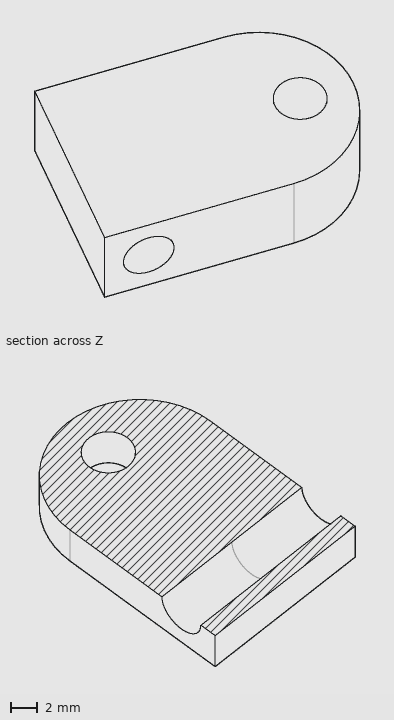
import cadquery as cq

length = 22.5
width = 15.0
height = 7.0
hole_diameter = 4.0
vertical_hole_setback = 4.23

end_radius = width / 2
arc_start_y = length - end_radius
vertical_hole_y = length - vertical_hole_setback
cross_hole_y = height / 2


def rounded_block():
    """Block with a flat end at Y = 0 and a full-round end at Y = length."""
    return (
        cq.Workplane("XY")
        .moveTo(-end_radius, 0)
        .lineTo(end_radius, 0)
        .lineTo(end_radius, arc_start_y)
        .threePointArc((0, length), (-end_radius, arc_start_y))
        .close()
        .extrude(height)
    )


def vertical_hole():
    """Through hole along Z near the rounded end."""
    return cq.Workplane("XY").center(0, vertical_hole_y).circle(hole_diameter / 2).extrude(height)


def cross_hole():
    """Through hole along X near the flat end, at mid height."""
    return (
        cq.Workplane("YZ")
        .center(cross_hole_y, height / 2)
        .circle(hole_diameter / 2)
        .extrude(end_radius, both=True)
    )


result = rounded_block().cut(vertical_hole()).cut(cross_hole())